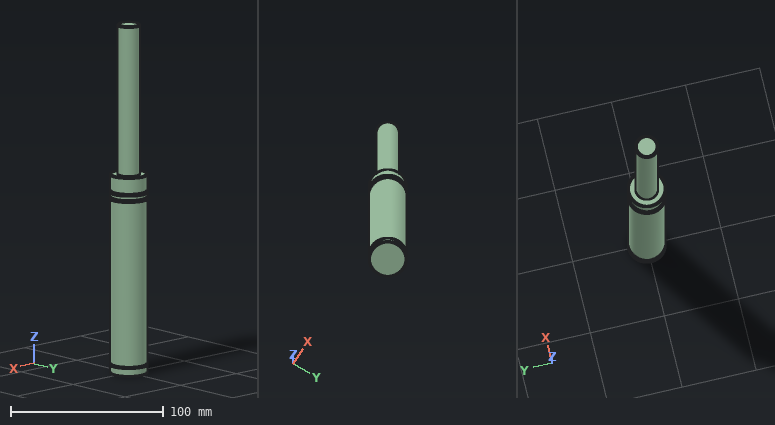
import cadquery as cq

total_height = 235.0
body_diameter = 25.0
rod_diameter = 15.0
rod_length = 100.8
body_height = total_height - rod_length

rod_chamfer = 1.0
body_chamfer = 0.7

groove_depth = 1.0
short_flank = 0.7
long_flank = 1.2
upper_groove_height = 122.7
middle_groove_height = 118.0
lower_groove_height = 6.0


def cylinder(diameter, height):
    return cq.Workplane("XY").circle(diameter / 2).extrude(height)


def v_groove(root_height, flank_below, flank_above):
    """Ring of triangular section that cuts a V-groove into the body."""
    outer_radius = body_diameter / 2
    root_radius = outer_radius - groove_depth
    return (
        cq.Workplane("XZ")
        .moveTo(outer_radius, root_height - flank_below)
        .lineTo(root_radius, root_height)
        .lineTo(outer_radius, root_height + flank_above)
        .close()
        .revolve(360, (0, 0, 0), (0, 1, 0))
    )


body = cylinder(body_diameter, body_height)
body = body.faces("<Z or >Z").edges().chamfer(body_chamfer)

body = body.cut(v_groove(upper_groove_height, long_flank, short_flank))
body = body.cut(v_groove(middle_groove_height, short_flank, long_flank))
body = body.cut(v_groove(lower_groove_height, short_flank, short_flank))

rod = cylinder(rod_diameter, total_height)
rod = rod.faces(">Z").edges().chamfer(rod_chamfer)

result = body.union(rod)